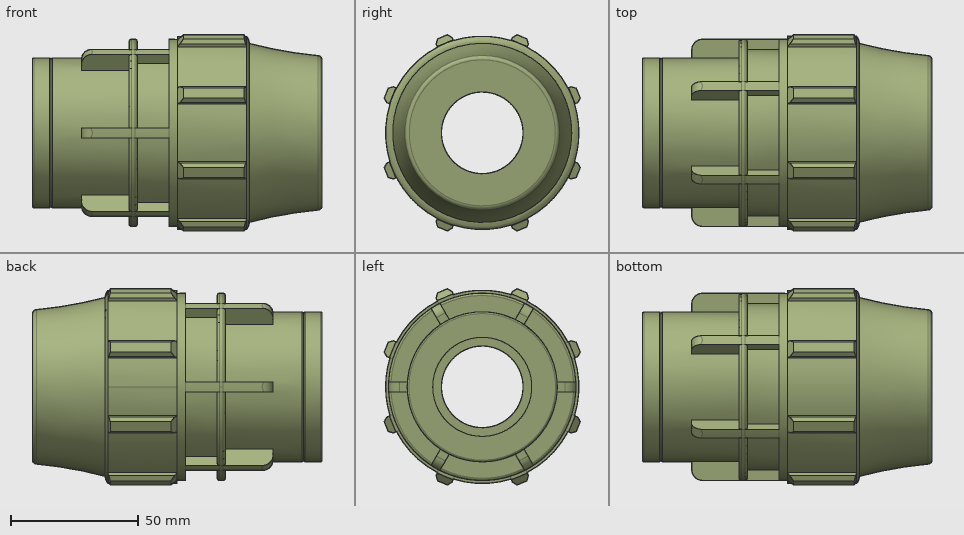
import cadquery as cq
import math

length = 114.0

spigot_radius = 59.0 / 2
edge_round = 0.7
groove_start = 6.7
groove_width = 1.1
groove_depth = 0.5

flange_radius = 73.8 / 2
front_flange_start = 38.1
front_flange_end = 41.3
flange_round = 0.9
drum_radius = 32.8
rear_flange_start = 53.7

nut_start = 57.1
nut_radius = 38.1
nut_shoulder = 84.2
nut_end = 85.4
nut_shoulder_bulge = 0.2
skirt_large_radius = 35.2
skirt_small_radius = 30.4
skirt_hollow = 0.6
mouth_round = 1.7

through_radius = 32.0 / 2
socket_radius = 39.0 / 2
socket_depth = 25.0

fin_count = 6
fin_start = 19.4
fin_root_radius = 27.4
fin_thickness = 4.0
fin_round = 4.3

grip_count = 8
grip_base_width = 6.8
grip_top_width = 4.2
grip_shoulder_radius = 39.2
grip_top_radius = 40.9
grip_top_start = 59.5
grip_top_end = 83.3
grip_root_radius = 38.2
grip_buried_radius = 34.2


def turned_body():
    """Solid of revolution about X, from the spigot face to the mouth of the skirt."""
    groove_end = groove_start + groove_width
    shoulder_middle = (
        (nut_shoulder + nut_end) / 2 + nut_shoulder_bulge,
        (nut_radius + skirt_large_radius) / 2 + nut_shoulder_bulge,
    )
    skirt_end = length - mouth_round
    skirt_middle = (
        (nut_end + skirt_end) / 2,
        (skirt_large_radius + skirt_small_radius) / 2 - skirt_hollow,
    )
    round_inset = mouth_round * (1 - math.sqrt(0.5))
    mouth_middle = (length - round_inset, skirt_small_radius - round_inset)
    profile = (
        cq.Workplane("XY")
        .moveTo(0, 0)
        .lineTo(0, spigot_radius)
        .lineTo(groove_start, spigot_radius)
        .lineTo(groove_start + groove_width / 2, spigot_radius - groove_depth)
        .lineTo(groove_end, spigot_radius)
        .lineTo(front_flange_end, spigot_radius)
        .lineTo(front_flange_end, drum_radius)
        .lineTo(rear_flange_start, drum_radius)
        .lineTo(rear_flange_start, flange_radius)
        .lineTo(nut_start, flange_radius)
        .lineTo(nut_start, nut_radius)
        .lineTo(nut_shoulder, nut_radius)
        .threePointArc(shoulder_middle, (nut_end, skirt_large_radius))
        .threePointArc(skirt_middle, (skirt_end, skirt_small_radius))
        .threePointArc(mouth_middle, (length, skirt_small_radius - mouth_round))
        .lineTo(length, 0)
        .close()
    )
    body = profile.revolve(360, (0, 0, 0), (1, 0, 0))
    return body.faces("<X").edges().fillet(edge_round)


def front_flange():
    """Thin disc with both rims rounded."""
    disc = (
        cq.Workplane("YZ", origin=(front_flange_start, 0, 0))
        .circle(flange_radius)
        .extrude(front_flange_end - front_flange_start)
    )
    return disc.edges().fillet(flange_round)


def fin():
    """Fin along +Y with a rounded front corner, reaching back to the rear flange."""
    fin_length = rear_flange_start - fin_start
    fin_height = flange_radius - fin_root_radius
    blade = (
        cq.Workplane("XY")
        .box(fin_length, fin_height, fin_thickness, centered=(False, False, True))
        .translate((fin_start, fin_root_radius, 0))
    )
    blade = blade.edges("<X and >Y").fillet(fin_round)
    envelope = cq.Workplane("YZ").circle(flange_radius).extrude(length)
    return blade.intersect(envelope)


def grip():
    """Grip rib along +Y with bevelled sides and sloping ends."""
    half_base = grip_base_width / 2
    half_top = grip_top_width / 2
    section = (
        cq.Workplane("YZ")
        .polyline([
            (grip_buried_radius, -half_base),
            (grip_shoulder_radius, -half_base),
            (grip_top_radius, -half_top),
            (grip_top_radius, half_top),
            (grip_shoulder_radius, half_base),
            (grip_buried_radius, half_base),
        ])
        .close()
        .extrude(length)
    )
    side = (
        cq.Workplane("XY")
        .polyline([
            (nut_start, grip_buried_radius),
            (nut_start, grip_root_radius),
            (grip_top_start, grip_top_radius),
            (grip_top_end, grip_top_radius),
            (nut_shoulder, grip_root_radius),
            (nut_shoulder, grip_buried_radius),
        ])
        .close()
        .extrude(half_base, both=True)
    )
    return section.intersect(side)


def ring_of(feature, count, first_angle):
    """Equally spaced copies of a feature around the X axis."""
    step = 360 / count
    return [feature.rotate((0, 0, 0), (1, 0, 0), first_angle + i * step).val() for i in range(count)]


def bore(radius, depth):
    """Round cutter along the axis from the spigot face."""
    return cq.Workplane("YZ").circle(radius).extrude(depth)


body = turned_body().union(front_flange())
body = body.cut(bore(through_radius, length)).cut(bore(socket_radius, socket_depth))
fins = ring_of(fin(), fin_count, 0)
grips = ring_of(grip(), grip_count, 180 / grip_count)
result = cq.Workplane("XY").newObject([body.val().fuse(*fins, *grips).Solids()[0]])